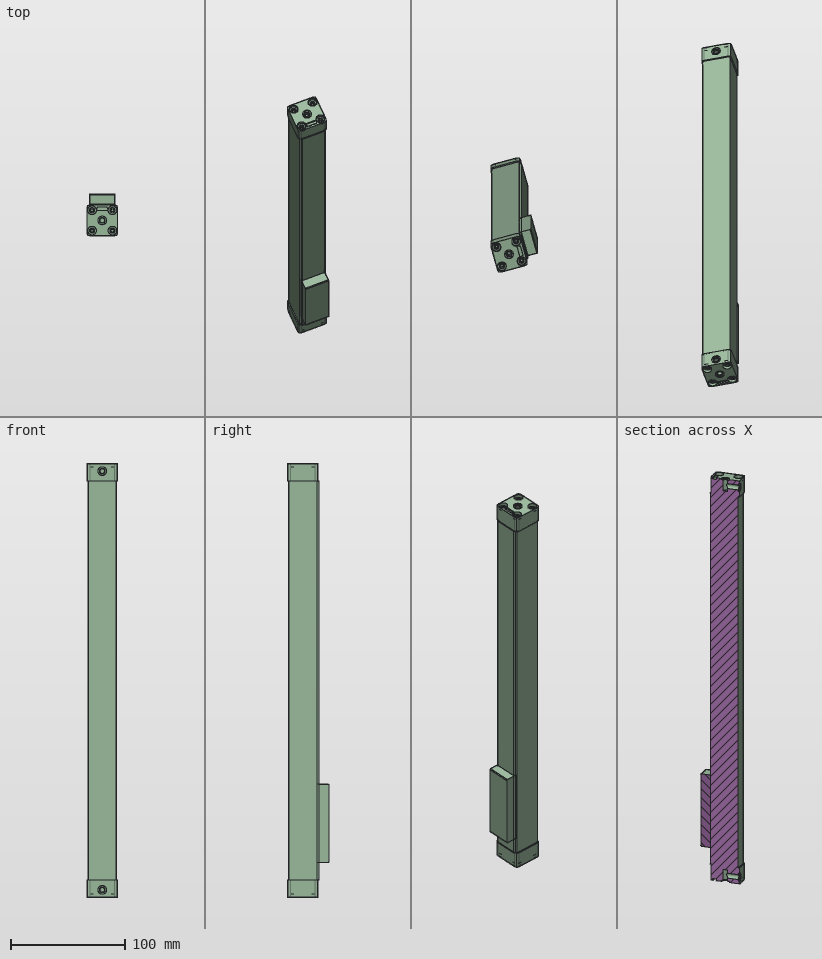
import cadquery as cq
import math

LENGTH = 380.0
OVERALL_DEPTH = 36.5

END_CAP_WIDTH = 27.0
END_CAP_HEIGHT = 15.2
END_CAP_CENTER_Y = END_CAP_WIDTH / 2
CORNER_BEVEL_START = 2.5
CORNER_BEVEL_ANGLE = 15.0

BARREL_WIDTH = 24.7
BARREL_LENGTH = LENGTH - 2 * END_CAP_HEIGHT
BARREL_FRONT_Y = END_CAP_CENTER_Y - BARREL_WIDTH / 2
BARREL_BACK_Y = END_CAP_CENTER_Y + BARREL_WIDTH / 2
BAND_WIDTH = 21.0
BAND_THICKNESS = 2.0
BAND_BACK_Y = BARREL_BACK_Y + BAND_THICKNESS

CARRIAGE_WIDTH = 22.0
CARRIAGE_LENGTH = 68.8
CARRIAGE_BOTTOM_Z = 30.5
CARRIAGE_CHAMFER = 0.8

PORT_SEAT_DIAMETER = 7.5
PORT_SEAT_DEPTH = 0.8
PORT_STEP_DIAMETER = 5.0
PORT_STEP_DEPTH = 1.5
PORT_BORE_DIAMETER = 4.0
END_PORT_DEPTH = 11.5
FRONT_PORT_DEPTH = END_CAP_CENTER_Y
FRONT_PORT_DISTANCE_FROM_END = 6.5

SCREW_SPACING = 18.0
SCREW_SEAT_DIAMETER = 7.5
SCREW_SEAT_DEPTH = 3.0
SCREW_STEP_DIAMETER = 4.5
SCREW_STEP_DEPTH = 4.0
SCREW_BORE_DIAMETER = 2.47
SCREW_BORE_DEPTH = 5.7

RECESS_FRONT_WIDTH = 10.5
RECESS_BACK_WIDTH = 8.5
RECESS_FRONT_Y = 22.0
RECESS_BACK_Y = 25.0
RECESS_DEPTH = 1.5


def block(width, front_y, back_y, bottom_z, height):
    """Box centred on X = 0 between two Y planes."""
    center_y = (front_y + back_y) / 2
    base = cq.Workplane("XY", origin=(0, center_y, bottom_z))
    return base.box(width, back_y - front_y, height, centered=(True, True, False))


def stepped_hole(plane, steps):
    """Cutter made of (diameter, depth) bores that run against the plane's normal."""
    cutter = cq.Workplane(plane)
    for diameter, depth in steps:
        cutter = cutter.union(cq.Workplane(plane).circle(diameter / 2).extrude(-depth))
    return cutter


def port_hole(plane, depth):
    return stepped_hole(plane, [
        (PORT_SEAT_DIAMETER, PORT_SEAT_DEPTH),
        (PORT_STEP_DIAMETER, PORT_STEP_DEPTH),
        (PORT_BORE_DIAMETER, depth),
    ])


def screw_hole(x, y):
    return stepped_hole(cq.Plane(origin=(x, y, LENGTH)), [
        (SCREW_SEAT_DIAMETER, SCREW_SEAT_DEPTH),
        (SCREW_STEP_DIAMETER, SCREW_STEP_DEPTH),
        (SCREW_BORE_DIAMETER, SCREW_BORE_DEPTH),
    ])


def make_cap_blank():
    """Square block with blunted upright corners, at the upper end of the part."""
    half = END_CAP_WIDTH / 2
    flat_half = half - CORNER_BEVEL_START
    slope = math.tan(math.radians(CORNER_BEVEL_ANGLE))
    tip_half = half - CORNER_BEVEL_START * slope / (1 + slope)
    outline = []
    for x_sign, y_sign in ((-1, -1), (1, -1), (1, 1), (-1, 1)):
        corner = [
            (x_sign * half, y_sign * flat_half),
            (x_sign * tip_half, y_sign * tip_half),
            (x_sign * flat_half, y_sign * half),
        ]
        outline += corner if x_sign == y_sign else corner[::-1]
    base = cq.Workplane("XY", origin=(0, END_CAP_CENTER_Y, LENGTH - END_CAP_HEIGHT))
    return base.polyline(outline).close().extrude(END_CAP_HEIGHT)


def make_recess():
    outline = [
        (-RECESS_FRONT_WIDTH / 2, RECESS_FRONT_Y),
        (RECESS_FRONT_WIDTH / 2, RECESS_FRONT_Y),
        (RECESS_BACK_WIDTH / 2, RECESS_BACK_Y),
        (-RECESS_BACK_WIDTH / 2, RECESS_BACK_Y),
    ]
    end_face = cq.Workplane("XY", origin=(0, 0, LENGTH))
    return end_face.polyline(outline).close().extrude(-RECESS_DEPTH)


def make_top_cap():
    cap = make_cap_blank()

    end_plane = cq.Plane(origin=(0, END_CAP_CENTER_Y, LENGTH))
    cap = cap.cut(port_hole(end_plane, END_PORT_DEPTH))

    front_port_z = LENGTH - FRONT_PORT_DISTANCE_FROM_END
    front_plane = cq.Plane(origin=(0, 0, front_port_z), xDir=(1, 0, 0), normal=(0, -1, 0))
    cap = cap.cut(port_hole(front_plane, FRONT_PORT_DEPTH))

    screw_offset = SCREW_SPACING / 2
    for x in (-screw_offset, screw_offset):
        for y in (END_CAP_CENTER_Y - screw_offset, END_CAP_CENTER_Y + screw_offset):
            cap = cap.cut(screw_hole(x, y))

    return cap.cut(make_recess())


def make_cylinder():
    """Barrel, band and both end caps as one body."""
    barrel = block(BARREL_WIDTH, BARREL_FRONT_Y, BARREL_BACK_Y, END_CAP_HEIGHT, BARREL_LENGTH)
    band = block(BAND_WIDTH, BARREL_BACK_Y, BAND_BACK_Y, END_CAP_HEIGHT, BARREL_LENGTH)
    top_cap = make_top_cap()
    bottom_cap = top_cap.mirror("XY", (0, 0, LENGTH / 2))
    return barrel.union(band).union(top_cap).union(bottom_cap)


def make_carriage():
    """Block behind the barrel, recessed to fit over the band."""
    body = block(
        CARRIAGE_WIDTH, BARREL_BACK_Y, OVERALL_DEPTH, CARRIAGE_BOTTOM_Z, CARRIAGE_LENGTH)
    body = body.edges(">Y and |X").chamfer(CARRIAGE_CHAMFER)
    band_recess = block(
        BAND_WIDTH, BARREL_BACK_Y, BAND_BACK_Y, CARRIAGE_BOTTOM_Z, CARRIAGE_LENGTH)
    return body.cut(band_recess)


cylinder = make_cylinder()
carriage = make_carriage()
result = cq.Compound.makeCompound([cylinder.solids().val(), carriage.solids().val()])